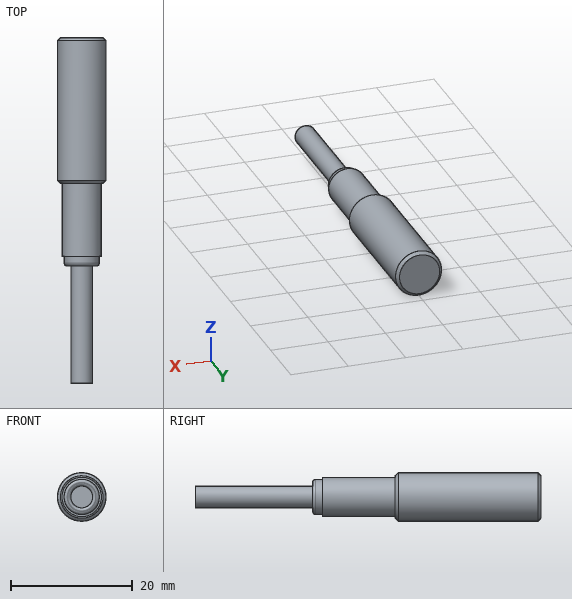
import cadquery as cq

total_length = 56.85

body_diameter = 8.0
body_length = 24.0
body_chamfer = 0.5

sleeve_diameter = 6.5
sleeve_length = 12.0

collar_diameter = 5.8
collar_length = 1.6
collar_fillet = 0.5

cable_diameter = 3.6
cable_length = total_length - body_length - sleeve_length - collar_length

body_back = total_length / 2
body_front = body_back - body_length
sleeve_front = body_front - sleeve_length


def cylinder_toward_front(diameter, length, back):
    """Cylinder on the Y axis that runs from back toward -Y."""
    return (
        cq.Workplane("XZ", origin=(0, back, 0))
        .circle(diameter / 2)
        .extrude(length)
    )


body = (
    cylinder_toward_front(body_diameter, body_length, body_back)
    .faces("<Y or >Y")
    .edges()
    .chamfer(body_chamfer)
)

sleeve = cylinder_toward_front(sleeve_diameter, sleeve_length, body_front)

collar_bore = cylinder_toward_front(cable_diameter, collar_length, sleeve_front)
collar = (
    cylinder_toward_front(collar_diameter, collar_length, sleeve_front)
    .cut(collar_bore)
    .faces("<Y")
    .edges()
    .fillet(collar_fillet)
)

cable = cylinder_toward_front(cable_diameter, collar_length + cable_length, sleeve_front)

result = body.union(sleeve).union(collar).union(cable)